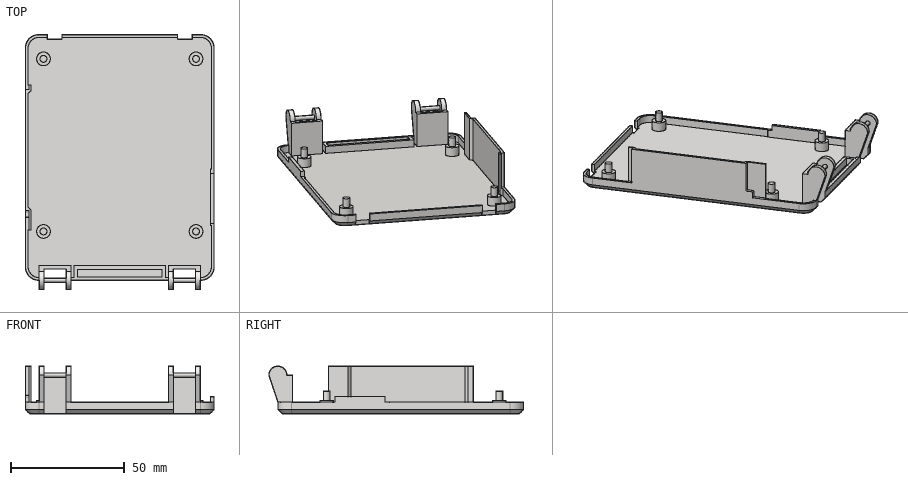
import cadquery as cq

tray_width = 83.0
tray_length = 108.0
corner_radius = 6.0
bottom_chamfer = 2.0
floor_thickness = 2.0
wall_height = 5.2
wall_thickness = 1.25
overall_height = 21.0
half_width = tray_width / 2
half_length = tray_length / 2

notch_width = 6.35
notch_depth = 2.0
notch_center_x = 28.6

standoff_diameter = 6.0
standoff_top = 6.0
peg_diameter = 3.0
peg_top = 10.0
standoff_x = 33.5
standoff_front_y = -32.5
standoff_back_y = 43.3

tall_wall_front_y = -23.4
tall_wall_back_y = 29.8
tab_front_y = -31.8
tab_back_y = 31.9
tab_outer_offset = 1.75
tab_inner_offset = 2.6
tab_lap_front_y = -21.8
tab_lap_back_y = 28.1
step_length = 3.0
step_height = 8.0
step_fillet = 0.5

pad_front_y = -29.9
pad_back_y = -5.0
raised_front_y = -29.0
raised_back_y = -7.0
raised_thickness = 1.65
raised_top = 7.6

hinge_center_x = 28.4
hinge_width = 14.0
cheek_thickness = 2.2
cheek_gap = hinge_width - 2 * cheek_thickness
knuckle_radius = 4.0
hinge_axis_y = -half_length
hinge_axis_z = overall_height - knuckle_radius
hinge_back_y = -47.5
back_plate_thickness = 1.5
pin_diameter = 2.0

frame_width = 40.1
frame_rim = 1.6


def box(x_range, y_range, z_range):
    """Box spanning the given (low, high) ranges."""
    sizes = [high - low for low, high in (x_range, y_range, z_range)]
    corner = (x_range[0], y_range[0], z_range[0])
    return cq.Workplane("XY").box(*sizes, centered=False).translate(corner)


def make_tray():
    shell = (
        cq.Workplane("XY")
        .rect(tray_width, tray_length)
        .extrude(wall_height)
        .edges("|Z")
        .fillet(corner_radius)
        .faces("<Z")
        .chamfer(bottom_chamfer)
    )
    cavity = (
        cq.Workplane("XY", origin=(0, 0, floor_thickness))
        .rect(tray_width - 2 * wall_thickness, tray_length - 2 * wall_thickness)
        .extrude(wall_height)
        .edges("|Z")
        .fillet(corner_radius - wall_thickness)
    )
    return shell.cut(cavity)


def make_notch(center_x):
    return box(
        (center_x - notch_width / 2, center_x + notch_width / 2),
        (half_length - notch_depth, half_length),
        (0, wall_height),
    )


def make_standoff(x, y):
    base = cq.Workplane("XY", origin=(x, y, floor_thickness))
    body = base.circle(standoff_diameter / 2).extrude(standoff_top - floor_thickness)
    peg = base.circle(peg_diameter / 2).extrude(peg_top - floor_thickness)
    return body.union(peg)


def make_tab(end_y, lap_y):
    """Inset tab, its overlap with the tall wall ending in a 45 degree slope."""
    outer_x = -half_width + wall_thickness
    inner_x = -half_width + tab_inner_offset
    slope = tab_inner_offset - wall_thickness
    slope_start_y = lap_y + (slope if end_y > lap_y else -slope)
    return (
        cq.Workplane("XY", origin=(0, 0, floor_thickness))
        .polyline([(outer_x, end_y), (inner_x, end_y), (inner_x, slope_start_y), (outer_x, lap_y)])
        .close()
        .extrude(overall_height - floor_thickness)
    )


def make_skin(thickness):
    """Outer layer of the tall wall, with a rounded step at its -Y end."""
    step_front_y = tall_wall_front_y - step_length
    return (
        cq.Workplane("YZ", origin=(-half_width, 0, 0))
        .moveTo(step_front_y, floor_thickness)
        .lineTo(step_front_y, step_height - step_fillet)
        .radiusArc((step_front_y + step_fillet, step_height), step_fillet)
        .lineTo(tall_wall_front_y - step_fillet, step_height)
        .radiusArc((tall_wall_front_y, step_height + step_fillet), -step_fillet)
        .lineTo(tall_wall_front_y, overall_height)
        .lineTo(tall_wall_back_y, overall_height)
        .lineTo(tall_wall_back_y, floor_thickness)
        .close()
        .extrude(thickness)
    )


def make_tall_wall():
    tabs = make_tab(tab_front_y, tab_lap_front_y).union(make_tab(tab_back_y, tab_lap_back_y))
    set_back = box(
        (-half_width, -half_width + tab_outer_offset),
        (tab_front_y, tab_back_y),
        (wall_height, overall_height),
    )
    lapped_skin = make_skin(tab_outer_offset).intersect(tabs)
    return tabs.cut(set_back).union(lapped_skin).union(make_skin(wall_thickness))


def make_raised_wall():
    x_range = (half_width - raised_thickness, half_width)
    pad = box(x_range, (pad_front_y, pad_back_y), (floor_thickness, wall_height))
    return pad.union(box(x_range, (raised_front_y, raised_back_y), (floor_thickness, raised_top)))


def make_cheek(low_x):
    """Hinge cheek with a round knuckle overhanging the -Y edge."""
    knuckle_front_y = hinge_axis_y - knuckle_radius
    knuckle_back_y = hinge_axis_y + knuckle_radius
    return (
        cq.Workplane("YZ", origin=(low_x, 0, 0))
        .moveTo(hinge_back_y, floor_thickness)
        .lineTo(hinge_back_y, hinge_axis_z)
        .lineTo(knuckle_back_y, hinge_axis_z)
        .threePointArc((hinge_axis_y, overall_height), (knuckle_front_y, hinge_axis_z))
        .lineTo(-half_length, wall_height)
        .lineTo(-half_length, floor_thickness)
        .close()
        .extrude(cheek_thickness)
    )


def hinge_gap_range(center_x):
    return (center_x - cheek_gap / 2, center_x + cheek_gap / 2)


def make_hinge_opening(center_x):
    y_range = (-half_length, hinge_back_y - back_plate_thickness)
    return box(hinge_gap_range(center_x), y_range, (0, wall_height))


def make_hinge(center_x):
    gap_range = hinge_gap_range(center_x)
    y_range = (hinge_back_y - back_plate_thickness, hinge_back_y)
    back_plate = box(gap_range, y_range, (0, hinge_axis_z))
    pin = (
        cq.Workplane("YZ", origin=(gap_range[0], 0, 0))
        .center(hinge_axis_y, hinge_axis_z)
        .circle(pin_diameter / 2)
        .extrude(cheek_gap)
    )
    cheeks = make_cheek(gap_range[0] - cheek_thickness).union(make_cheek(gap_range[1]))
    return cheeks.union(back_plate).union(pin)


def make_slot_frame():
    half_frame = frame_width / 2
    half_slot = half_frame - frame_rim
    frame_y = (-half_length + wall_thickness, hinge_back_y)
    block = box((-half_frame, half_frame), frame_y, (floor_thickness, wall_height))
    slot_y = (-half_length + frame_rim, hinge_back_y - frame_rim)
    slot = box((-half_slot, half_slot), slot_y, (floor_thickness, wall_height))
    return block.cut(slot)


result = make_tray()
for side in (-1, 1):
    result = result.cut(make_notch(side * notch_center_x))
    result = result.cut(make_hinge_opening(side * hinge_center_x))
    result = result.union(make_hinge(side * hinge_center_x))
    for standoff_y in (standoff_front_y, standoff_back_y):
        result = result.union(make_standoff(side * standoff_x, standoff_y))
result = result.union(make_slot_frame())
result = result.union(make_raised_wall())
result = result.union(make_tall_wall())